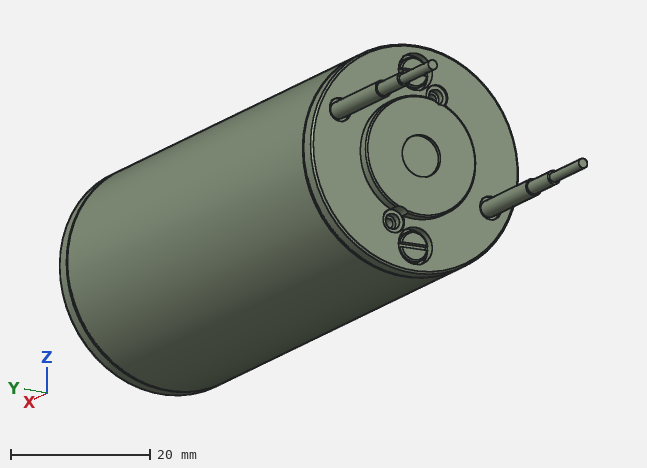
import cadquery as cq
import math

body_diameter = 34.0
body_length = 76.1
edge_chamfer = 0.3

seam_offset = 2.5
seam_width = 0.4
seam_depth = 0.2

boss_diameter = 18.0
rear_boss_length = 1.8
front_boss_length = 2.2
boss_chamfer = 0.2
shaft_diameter = 5.0
shaft_length = 13.9
shaft_chamfer = 0.6
axle_recess_diameter = 6.2
axle_recess_depth = 0.6

wire_steps = [(2.5, 13.0), (2.0, 6.1), (1.5, 8.8)]
wire_circle_radius = 13.6
wire_angle = 25.0
wire_hole_diameter = 3.5
wire_hole_depth = 0.6

screw_offset = 13.0
screw_recess_diameter = 5.5
screw_recess_depth = 1.5
screw_head_diameter = 4.6
screw_head_height = 1.2
screw_head_chamfer = 0.2
screw_slot_width = 0.7
screw_slot_depth = 1.0

bore_circle_radius = 10.3
bore_angle = 110.0
counterbore_diameter = 3.5
counterbore_depth = 0.4
bore_diameter = 1.5
bore_step_diameter = 2.3
bore_step_depth = 1.2
bore_depth = 2.4


def rod(x_start, length, diameter, y=0.0, z=0.0):
    """Cylinder along +X from x_start, centred on (y, z)."""
    return cq.Workplane("YZ", origin=(x_start, y, z)).circle(diameter / 2).extrude(length)


def opposite_points(radius, angle):
    """Two (y, z) points half a turn apart, the first at this angle from +Y towards +Z."""
    y = radius * math.cos(math.radians(angle))
    z = radius * math.sin(math.radians(angle))
    return [(y, z), (-y, -z)]


def make_body():
    body = rod(0, body_length, body_diameter).edges().chamfer(edge_chamfer)
    radius = body_diameter / 2
    for x in (seam_offset, body_length - seam_offset):
        seam = (
            cq.Workplane("XY")
            .moveTo(x - seam_width / 2, radius)
            .lineTo(x, radius - seam_depth)
            .lineTo(x + seam_width / 2, radius)
            .close()
            .revolve(360, (0, 0, 0), (1, 0, 0))
        )
        body = body.cut(seam)
    return body


def make_front_end():
    boss = rod(body_length, front_boss_length, boss_diameter).faces(">X").chamfer(boss_chamfer)
    shaft = rod(body_length, front_boss_length + shaft_length, shaft_diameter)
    return boss.union(shaft.faces(">X").chamfer(shaft_chamfer))


def make_rear_boss():
    boss = rod(-rear_boss_length, rear_boss_length, boss_diameter).faces("<X").chamfer(boss_chamfer)
    return boss.cut(rod(-rear_boss_length, axle_recess_depth, axle_recess_diameter))


def make_bore(y, z):
    """Cutter for a stepped hole whose counterbore also notches the rear boss."""
    counterbore = rod(-rear_boss_length, rear_boss_length + counterbore_depth, counterbore_diameter, y, z)
    step = rod(counterbore_depth, bore_step_depth, bore_step_diameter, y, z)
    bore = rod(counterbore_depth + bore_step_depth, bore_depth, bore_diameter, y, z)
    return counterbore.union(step).union(bore)


def make_screw_head(z):
    """Slotted head standing on the floor of its recess."""
    head_x = screw_recess_depth - screw_head_height
    head = rod(head_x, screw_head_height, screw_head_diameter, 0, z).faces("<X").chamfer(screw_head_chamfer)
    slot = cq.Workplane("XY").box(2 * screw_slot_depth, screw_head_diameter, screw_slot_width)
    return head.cut(slot.translate((head_x, 0, z)))


def make_wire(y, z):
    """Stepped lead wire that starts on the floor of its hole and runs to -X."""
    wire = rod(0, wire_hole_depth, wire_steps[0][0], y, z)
    x = 0
    for diameter, length in wire_steps:
        x -= length
        wire = wire.union(rod(x, length, diameter, y, z))
    return wire


motor = make_body().union(make_front_end()).union(make_rear_boss())

for y, z in opposite_points(bore_circle_radius, bore_angle):
    motor = motor.cut(make_bore(y, z))

for z in (screw_offset, -screw_offset):
    motor = motor.cut(rod(0, screw_recess_depth, screw_recess_diameter, 0, z))
    motor = motor.union(make_screw_head(z))

for y, z in opposite_points(wire_circle_radius, wire_angle):
    motor = motor.cut(rod(0, wire_hole_depth, wire_hole_diameter, y, z))
    motor = motor.union(make_wire(y, z))

result = motor